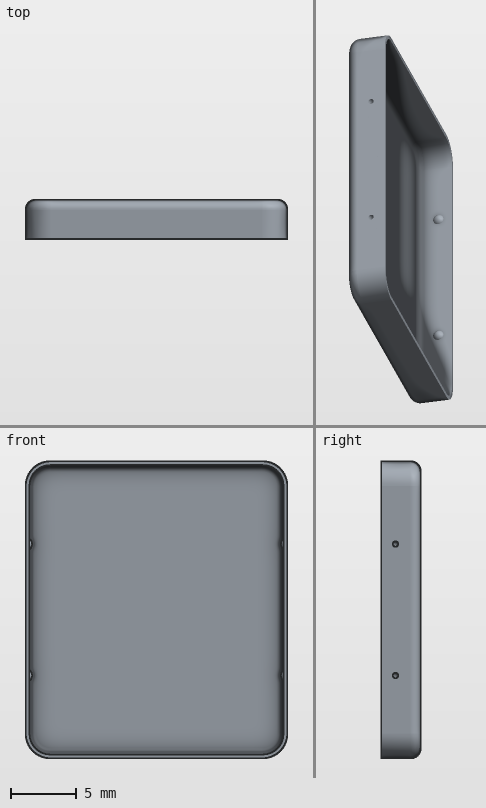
import cadquery as cq

width = 19.9
depth = 3.0
height = 22.6

wall = 0.3
corner_radius = 1.9
back_edge_radius = 0.8

dimple_radius = 0.5
dimple_hollow_radius = dimple_radius - wall
dimple_spacing = 10.0
dimple_from_rim = 1.08

rim_y = -depth / 2


def rounded_block(inset):
    """Block from the rim to the back, inset from the outer faces, with a rounded back edge."""
    return (
        cq.Workplane("XZ", origin=(0, rim_y, 0))
        .rect(width - 2 * inset, height - 2 * inset)
        .extrude(-(depth - inset))
        .edges("|Y")
        .fillet(corner_radius - inset)
        .faces(">Y")
        .edges()
        .fillet(back_edge_radius - inset)
    )


def remove_spheres(body, radius):
    """Cut from the body four spheres centred on the outer faces of the side walls."""
    for x in (-width / 2, width / 2):
        for z in (-dimple_spacing / 2, dimple_spacing / 2):
            centre = (x, rim_y + dimple_from_rim, z)
            sphere = cq.Workplane("XY", origin=centre).sphere(radius, direct=(1, 0, 0))
            body = body.cut(sphere)
    return body


cavity = remove_spheres(rounded_block(wall), dimple_radius)
tray = rounded_block(0).cut(cavity)

result = remove_spheres(tray, dimple_hollow_radius)